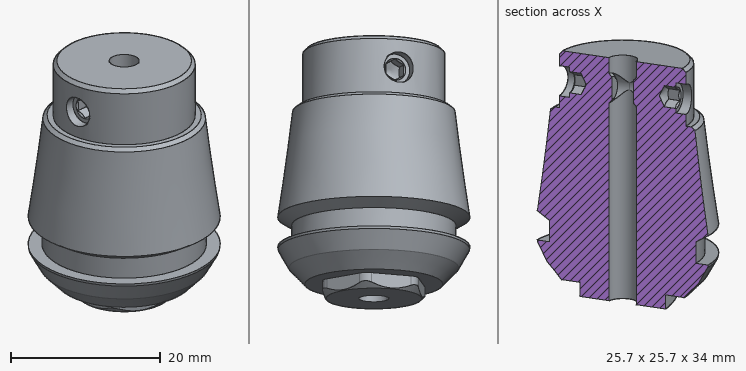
import cadquery as cq
import math

total_height = 34.0
hex_height = 1.97
flange_break_z = 4.18
flange_lip_z = 6.73
flange_top_z = 7.07
neck_top_z = 10.0
sleeve_bottom_z = 11.12
sleeve_waist_z = 18.35
sleeve_top_z = 26.0
sleeve_shoulder_z = 25.57

outer_radius = 25.7 / 2
lip_radius = 25.6 / 2
flange_break_radius = 11.35
flange_bottom_radius = 9.2
neck_radius = 22.0 / 2
sleeve_waist_radius = 11.8
sleeve_shoulder_radius = 10.88
sleeve_top_radius = 10.3
collar_radius = 19.0 / 2
collar_chamfer = 0.5

hex_across_flats = 12.95
hex_corner_diameter = 14.6
hex_corner_fillet = 1.6
hex_chamfer = 0.92

bore_diameter = 4.0
screw_diameter = 4.15
screw_z = 29.7
screw_face_y = 8.0
screw_tip_y = 1.6
screw_tip_radius = 1.63
socket_mouth_radius = 1.5
socket_across_flats = 2.5
socket_depth = 1.7
socket_cone_depth = 0.78


def make_body():
    """Revolve the flange, neck, tapered sleeve and collar."""
    return (
        cq.Workplane("XZ")
        .moveTo(0, hex_height)
        .lineTo(flange_bottom_radius, hex_height)
        .lineTo(flange_break_radius, flange_break_z)
        .lineTo(lip_radius, flange_lip_z)
        .lineTo(outer_radius, flange_top_z)
        .lineTo(neck_radius, flange_top_z)
        .lineTo(neck_radius, neck_top_z)
        .lineTo(outer_radius, sleeve_bottom_z)
        .threePointArc((sleeve_waist_radius, sleeve_waist_z), (sleeve_shoulder_radius, sleeve_shoulder_z))
        .lineTo(sleeve_top_radius, sleeve_top_z)
        .lineTo(collar_radius, sleeve_top_z)
        .lineTo(collar_radius, total_height - collar_chamfer)
        .lineTo(collar_radius - collar_chamfer, total_height)
        .lineTo(0, total_height)
        .close()
        .revolve(360, (0, 0, 0), (0, 1, 0))
    )


def make_hex():
    """Hex with flats facing +Y and -Y, rounded corners and a chamfered bottom."""
    across_corners = hex_across_flats / math.cos(math.pi / 6)
    corner_envelope = (
        cq.Workplane("XY").circle(hex_corner_diameter / 2).extrude(hex_height)
        .faces("<Z").chamfer(hex_chamfer)
    )
    return (
        cq.Workplane("XY").polygon(6, across_corners).extrude(hex_height)
        .edges("|Z").fillet(hex_corner_fillet)
        .intersect(corner_envelope)
    )


def make_socket():
    """Solid filling the screw's hex socket: chamfered mouth, hex walls and a conical floor."""
    across_corners = socket_across_flats / math.cos(math.pi / 6)
    mouth_chamfer = socket_mouth_radius - socket_across_flats / 2
    full_depth = socket_depth + socket_cone_depth
    drill = (
        cq.Workplane("XY")
        .moveTo(0, -screw_face_y)
        .lineTo(socket_mouth_radius, -screw_face_y)
        .lineTo(socket_mouth_radius, -screw_face_y + socket_depth)
        .lineTo(0, -screw_face_y + full_depth)
        .close()
        .revolve(360, (0, 0, 0), (0, 1, 0))
    )
    hex_walls = (
        cq.Workplane("XZ", origin=(0, -screw_face_y, 0))
        .transformed(rotate=(0, 0, 30))
        .polygon(6, across_corners)
        .extrude(-full_depth)
    )
    mouth = (
        cq.Workplane("XZ", origin=(0, -screw_face_y, 0))
        .circle(socket_mouth_radius)
        .extrude(-mouth_chamfer, taper=45)
    )
    return hex_walls.intersect(drill).union(mouth)


def make_screw():
    """Set screw on the -Y side: tapered tip and a hex socket in its outer face."""
    screw_radius = screw_diameter / 2
    tip_base_y = screw_tip_y + screw_radius - screw_tip_radius
    blank = (
        cq.Workplane("XY")
        .moveTo(0, -screw_tip_y)
        .lineTo(screw_tip_radius, -screw_tip_y)
        .lineTo(screw_radius, -tip_base_y)
        .lineTo(screw_radius, -screw_face_y)
        .lineTo(0, -screw_face_y)
        .close()
        .revolve(360, (0, 0, 0), (0, 1, 0))
    )
    return blank.cut(make_socket()).translate((0, 0, screw_z))


bore = cq.Workplane("XY").circle(bore_diameter / 2).extrude(total_height)
screw_hole = (
    cq.Workplane("XZ", origin=(0, 0, screw_z))
    .circle(screw_diameter / 2)
    .extrude(outer_radius, both=True)
)

result = make_body().union(make_hex()).cut(bore).cut(screw_hole)
for side_angle in (0, 180):
    result = result.union(make_screw().rotate((0, 0, 0), (0, 0, 1), side_angle))